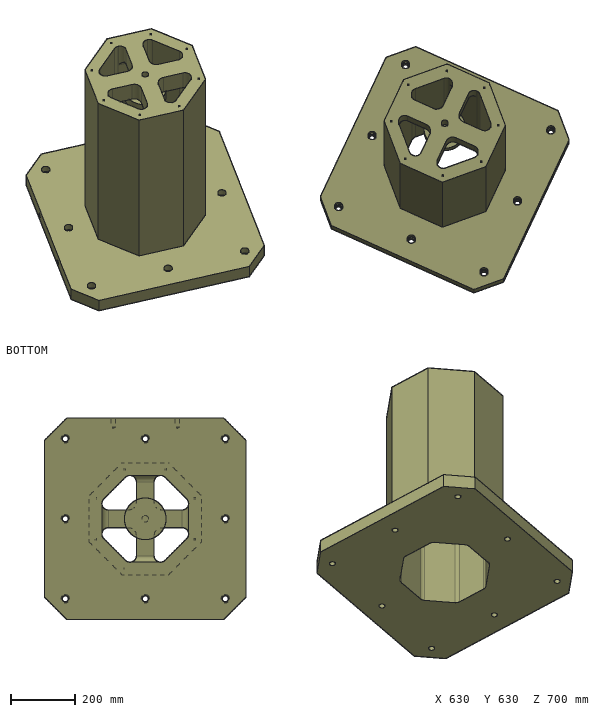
import cadquery as cq
import math

total_height = 700.0
plate_width = 630.0
plate_thickness = 50.0
plate_corner_cut = 70.0
column_width = 350.0

cap_thickness = 70.0
wall_thickness = 40.0
wall_corner_radius = 19.5
boss_diameter = 130.0
boss_height = 35.0

rib_width = 56.0
window_inner_radius = 23.0

mount_hole_spacing = 250.0
mount_hole_diameter = 18.0
counterbore_diameter = 26.0
counterbore_depth = 25.0
center_hole_diameter = 21.0
center_hole_depth = 70.0
side_hole_diameter = 14.0
side_hole_depth = 28.0
side_hole_offset = 100.0
side_hole_height = 17.5
cap_hole_diameter = 5.0
cap_hole_depth = 14.0
cap_hole_inset = 20.0
drill_point_angle = 118.0

window_depth = cap_thickness + wall_corner_radius
column_height = total_height - plate_thickness
cavity_width = column_width - 2 * wall_thickness
cavity_height = total_height - cap_thickness
cavity_flat = cavity_width / 2
octagon_sides = 8
octagon_step = 360 / octagon_sides
octagon_angle = octagon_step / 2


def octagon_prism(width, height, base_z=0.0):
    """Upright regular octagonal prism, given its width across flats."""
    corner_diameter = width / math.cos(math.radians(octagon_angle))
    return (
        cq.Workplane("XY", origin=(0, 0, base_z))
        .transformed(rotate=(0, 0, octagon_angle))
        .polygon(octagon_sides, corner_diameter)
        .extrude(height)
    )


def blind_drill(diameter, depth):
    """Drill shape entering the XY plane downwards, with a conical tip below the full depth."""
    radius = diameter / 2
    tip_length = radius / math.tan(math.radians(drill_point_angle / 2))
    profile = [(0, 0), (radius, 0), (radius, -depth), (0, -depth - tip_length)]
    return cq.Workplane("XZ").polyline(profile).close().revolve(360, (0, 0, 0), (0, 1, 0))


def cap_bar():
    """Bar across the column along X that flares down in a round where it meets the walls."""
    flat = cavity_flat
    radius = wall_corner_radius
    arc_middle = radius * (1 - math.sqrt(0.5))
    return (
        cq.Workplane("XZ")
        .moveTo(flat, total_height)
        .lineTo(flat, cavity_height - radius)
        .threePointArc((flat - arc_middle, cavity_height - arc_middle), (flat - radius, cavity_height))
        .lineTo(radius - flat, cavity_height)
        .threePointArc((arc_middle - flat, cavity_height - arc_middle), (-flat, cavity_height - radius))
        .lineTo(-flat, total_height)
        .close()
        .extrude(rib_width / 2 + radius, both=True)
    )


def cap_window():
    """Window in the +X +Y quarter: the cavity octagon less half a rib on each side."""
    inner = rib_width / 2
    flat = cavity_flat
    flat_end = flat * math.tan(math.radians(octagon_angle))
    outline = [(inner, inner), (flat, inner), (flat, flat_end), (flat_end, flat), (inner, flat)]
    window = (
        cq.Workplane("XY", origin=(0, 0, total_height))
        .polyline(outline)
        .close()
        .extrude(-window_depth)
    )
    for x, y in outline[1:]:
        corner = cq.selectors.NearestToPointSelector((x, y, total_height - window_depth / 2))
        window = window.edges(corner).fillet(wall_corner_radius)
    return window.edges("|Z").edges("<(1, 1, 0)").fillet(window_inner_radius)


plate = (
    cq.Workplane("XY")
    .rect(plate_width, plate_width)
    .extrude(plate_thickness)
    .edges("|Z")
    .chamfer(plate_corner_cut)
)

column = octagon_prism(column_width, column_height, plate_thickness)
hollow = octagon_prism(cavity_width, total_height).edges("|Z").fillet(wall_corner_radius)
body = plate.union(column).cut(hollow)

bar = cap_bar()
cross = bar.union(bar.rotate((0, 0, 0), (0, 0, 1), 90))
window = cap_window()
for quarter in range(4):
    cross = cross.cut(window.rotate((0, 0, 0), (0, 0, 1), 90 * quarter))
body = body.union(cross)

boss = (
    cq.Workplane("XY", origin=(0, 0, cavity_height))
    .circle(boss_diameter / 2)
    .extrude(-boss_height)
)
body = body.union(boss)

mount_points = [
    (x_step * mount_hole_spacing, y_step * mount_hole_spacing)
    for x_step in (-1, 0, 1)
    for y_step in (-1, 0, 1)
    if (x_step, y_step) != (0, 0)
]
mount_hole = cq.Workplane("XY").circle(mount_hole_diameter / 2).extrude(plate_thickness)
counterbore = (
    cq.Workplane("XY", origin=(0, 0, plate_thickness))
    .circle(counterbore_diameter / 2)
    .extrude(-counterbore_depth)
)
mount_cutter = mount_hole.union(counterbore)
for x, y in mount_points:
    body = body.cut(mount_cutter.translate((x, y, 0)))

center_drill = blind_drill(center_hole_diameter, center_hole_depth)
body = body.cut(center_drill.translate((0, 0, total_height)))

cap_hole_radius = (column_width / 2 - cap_hole_inset) / math.cos(math.radians(octagon_angle))
cap_drill = blind_drill(cap_hole_diameter, cap_hole_depth).translate((cap_hole_radius, 0, total_height))
for corner in range(octagon_sides):
    body = body.cut(cap_drill.rotate((0, 0, 0), (0, 0, 1), octagon_angle + octagon_step * corner))

side_drill = blind_drill(side_hole_diameter, side_hole_depth).rotate((0, 0, 0), (1, 0, 0), 90)
for side in (-1, 1):
    body = body.cut(side_drill.translate((side * side_hole_offset, -plate_width / 2, side_hole_height)))

result = body